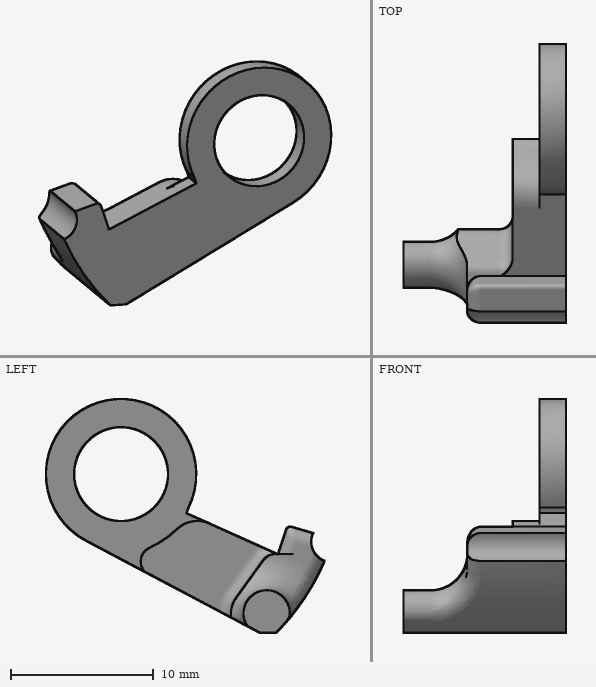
import cadquery as cq
import math

EYE_RADIUS = 5.28
EYE_HOLE_DIAMETER = 6.58
EYE_THICKNESS = 1.88
PAD_DEPTH = 2 * EYE_THICKNESS
LUG_DEPTH = 6.95
TOTAL_DEPTH = 11.43

ARM_SLOPE = math.radians(27.9)
BOTTOM_Z = -11.14
TANGENT_POINT = (EYE_RADIUS * math.sin(ARM_SLOPE), -EYE_RADIUS * math.cos(ARM_SLOPE))
BOTTOM_END_Y = TANGENT_POINT[0] - (TANGENT_POINT[1] - BOTTOM_Z) / math.tan(ARM_SLOPE)

ARM_TOP_START = (-4.6, -2.74)
ARM_TOP_END = (-11.0, -5.62)
NECK_POINT = (-4.74, -2.35)

LUG_CREST_BACK = (-11.66, -3.6)
LUG_CREST_FRONT = (-13.48, -4.13)
GROOVE_MIDDLE = (-13.43, -5.2)
LUG_TIP = (-14.29, -6.09)
HEEL_MIDDLE = (-12.97, -8.53)
HEEL_UPPER = (-14.0, -6.75)
HEEL_END = (-10.88, BOTTOM_Z)
LUG_BACK_ROUND = 0.33
LUG_END_ROUND = 0.98

PAD_TOP_Y = -6.18
PAD_TOP_CORNER = (-5.03, -3.3)
PAD_HOLLOW_TOP = (-4.01, -3.78)
PAD_HOLLOW_MIDDLE = (-3.03, -4.58)
PAD_HOLLOW_BOTTOM = (-1.95, -5.19)
PAD_BOTTOM_CORNER = (-1.39, -5.97)
PAD_BOTTOM_Y = -1.66

BOSS_TOP_END = ARM_TOP_END
BOSS_TOP_MIDDLE = (-10.45, -5.68)
BOSS_WALL_TOP = (-9.98, -6.03)
BOSS_WALL_BOTTOM = (-8.0, -8.77)
BOSS_BOTTOM_MIDDLE = (-7.77, -9.32)
BOSS_FOOT = (-7.73, -10.18)
BOSS_FILLET = 0.9
OVERSIZE = 17.61

PIN_RADIUS = 1.62
PIN_CENTRE = (-10.22, -9.77)
PIN_STRAIGHT = 1.94
FLARE_RADIUS = TOTAL_DEPTH - PIN_STRAIGHT - LUG_DEPTH


def near(*point):
    """Selector for the edge nearest to a point."""
    return cq.selectors.NearestToPointSelector(point)


def midpoint(start, end):
    """Point halfway between two points of the YZ plane."""
    return tuple((a + b) / 2 for a, b in zip(start, end))


def underside(y):
    """Point on the arm underside at the given Y."""
    y0, z0 = TANGENT_POINT
    return (y, z0 + (y - y0) * math.tan(ARM_SLOPE))


def arm_top(y):
    """Point on the arm top line at the given Y."""
    (y0, z0), (y1, z1) = ARM_TOP_START, ARM_TOP_END
    return (y, z0 + (y - y0) * (z1 - z0) / (y1 - y0))


def finish_outline(sketch):
    """Continue an outline from the arm top round the lug, groove and heel to the underside."""
    return (
        sketch.lineTo(*ARM_TOP_END)
        .lineTo(*LUG_CREST_BACK)
        .lineTo(*LUG_CREST_FRONT)
        .threePointArc(GROOVE_MIDDLE, LUG_TIP)
        .threePointArc(HEEL_MIDDLE, HEEL_END)
        .lineTo(BOTTOM_END_Y, BOTTOM_Z)
    )


def round_lug_back(block):
    """Round the back corner of the crest along the whole depth of a block."""
    crest = near(-LUG_DEPTH / 2, *LUG_CREST_BACK)
    return block.edges("|X").edges(crest).fillet(LUG_BACK_ROUND)


def make_plate():
    """Eye and arm plate."""
    eye = cq.Workplane("YZ").circle(EYE_RADIUS).extrude(-EYE_THICKNESS)
    arm = finish_outline(
        cq.Workplane("YZ").moveTo(0, 0).lineTo(*NECK_POINT).lineTo(*ARM_TOP_START)
    )
    arm = arm.lineTo(*TANGENT_POINT).close().extrude(-EYE_THICKNESS)
    hole = cq.Workplane("YZ").circle(EYE_HOLE_DIAMETER / 2).extrude(-EYE_THICKNESS)
    return eye.union(round_lug_back(arm)).cut(hole)


def make_pad():
    """Raised pad on the arm; its end follows the eye between two rounded corners."""
    return (
        cq.Workplane("YZ")
        .moveTo(*arm_top(PAD_TOP_Y))
        .threePointArc(PAD_TOP_CORNER, PAD_HOLLOW_TOP)
        .threePointArc(PAD_HOLLOW_MIDDLE, PAD_HOLLOW_BOTTOM)
        .threePointArc(PAD_BOTTOM_CORNER, underside(PAD_BOTTOM_Y))
        .lineTo(BOTTOM_END_Y, BOTTOM_Z)
        .lineTo(*ARM_TOP_END)
        .close()
        .extrude(-PAD_DEPTH)
    )


def make_outline_block(depth):
    """Arm, lug and heel outline, from the pad to the free side, as a plain block."""
    block = finish_outline(cq.Workplane("YZ").moveTo(*arm_top(PAD_TOP_Y)))
    return round_lug_back(block.lineTo(*underside(PAD_TOP_Y)).close().extrude(-depth))


def make_boss_core(depth):
    """Oversize block whose only true side is the rounded wall that faces the pad."""
    return (
        cq.Workplane("YZ")
        .moveTo(*BOSS_FOOT)
        .threePointArc(BOSS_BOTTOM_MIDDLE, BOSS_WALL_BOTTOM)
        .lineTo(*BOSS_WALL_TOP)
        .threePointArc(BOSS_TOP_MIDDLE, BOSS_TOP_END)
        .lineTo(-OVERSIZE, BOSS_TOP_END[1])
        .lineTo(-OVERSIZE, -OVERSIZE)
        .lineTo(BOSS_FOOT[0], -OVERSIZE)
        .close()
        .extrude(-depth)
    )


def make_boss():
    """Boss with a fillet at its foot on the pad, trimmed to the outline."""
    floor = cq.Workplane("YZ").rect(2 * OVERSIZE, 2 * OVERSIZE).extrude(-PAD_DEPTH)
    boss = floor.union(make_boss_core(LUG_DEPTH))
    wall_middle = midpoint(BOSS_WALL_TOP, BOSS_WALL_BOTTOM)
    boss = boss.edges(near(-PAD_DEPTH, *wall_middle)).fillet(BOSS_FILLET)
    return boss.intersect(make_outline_block(LUG_DEPTH))


def make_lug():
    """Lug and heel over the full lug depth, with the crest and back rounded at the free end."""
    lug = finish_outline(cq.Workplane("YZ").moveTo(*PIN_CENTRE))
    lug = round_lug_back(lug.close().extrude(-LUG_DEPTH))
    crest_end = (-LUG_DEPTH, *midpoint(LUG_CREST_BACK, LUG_CREST_FRONT))
    return lug.edges(near(*crest_end)).fillet(LUG_END_ROUND)


def make_pin():
    """Pin and flare, trimmed to the outline of the boss."""
    wide = PIN_RADIUS + FLARE_RADIUS
    flare_start = -(TOTAL_DEPTH - PIN_STRAIGHT)
    middle = FLARE_RADIUS * math.sqrt(0.5)
    profile = (
        cq.Workplane("XY")
        .moveTo(-TOTAL_DEPTH, 0)
        .lineTo(-TOTAL_DEPTH, PIN_RADIUS)
        .lineTo(flare_start, PIN_RADIUS)
        .threePointArc((flare_start + middle, wide - middle), (-LUG_DEPTH, wide))
        .lineTo(-PAD_DEPTH, wide)
        .lineTo(-PAD_DEPTH, 0)
        .close()
    )
    pin = profile.revolve(360, (0, 0, 0), (1, 0, 0)).translate((0, *PIN_CENTRE))
    return pin.intersect(make_boss_core(TOTAL_DEPTH)).intersect(make_outline_block(TOTAL_DEPTH))


body = make_plate().union(make_pad()).union(make_lug()).union(make_boss())
body = body.union(make_pin())

heel_end = (-LUG_DEPTH, *HEEL_UPPER)
result = body.edges(near(*heel_end)).fillet(LUG_END_ROUND)